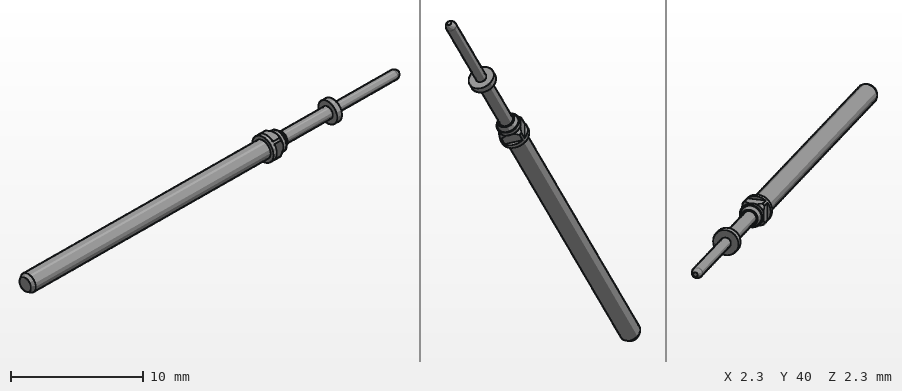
import cadquery as cq

LENGTH = 40.0
REAR_Y = -LENGTH / 2
TIP_Y = LENGTH / 2

PIN_DIAMETER = 0.85
TIP_ROUND_LENGTH = 0.4
TIP_ROUND_DEPTH = 0.25
TIP_ROUND_BULGE = 0.05
DISC_FRONT_Y = TIP_Y - 7.0

DISC_DIAMETER = 2.05
DISC_THICKNESS = 0.5
SHAFT_DIAMETER = 1.1
SHAFT_LENGTH = 4.95

FLANGE_DIAMETER = 2.3

SHOULDER_FRONT_DIAMETER = 1.3
SHOULDER_REAR_DIAMETER = 1.7
SHOULDER_LENGTH = 0.35
COLLAR_DIAMETER = 1.85
COLLAR_LENGTH = 0.35
SQUARE_WIDTH = 1.75
SQUARE_LENGTH = 0.9
SQUARE_CORNER_DIAMETER = FLANGE_DIAMETER
SQUARE_CHAMFER_LENGTH = 0.25

FLANGE_THICKNESS = 0.35
BARREL_DIAMETER = 1.65
REAR_CHAMFER_LENGTH = 0.3
REAR_CHAMFER_DEPTH = 0.2

DISC_REAR_Y = DISC_FRONT_Y - DISC_THICKNESS
SHOULDER_FRONT_Y = DISC_REAR_Y - SHAFT_LENGTH
COLLAR_FRONT_Y = SHOULDER_FRONT_Y - SHOULDER_LENGTH
SQUARE_FRONT_Y = COLLAR_FRONT_Y - COLLAR_LENGTH
FLANGE_FRONT_Y = SQUARE_FRONT_Y - SQUARE_LENGTH
FLANGE_REAR_Y = FLANGE_FRONT_Y - FLANGE_THICKNESS


def turned(start_y, end_y, start_diameter, end_diameter=None):
    """Cylinder, or cone if the end diameter differs, about the Y axis."""
    start_radius = start_diameter / 2
    end_radius = (end_diameter or start_diameter) / 2
    profile = cq.Workplane("XY").polyline(
        [(0, start_y), (start_radius, start_y), (end_radius, end_y), (0, end_y)]
    ).close()
    return profile.revolve(360, (0, 0, 0), (0, 1, 0))


def front_pin():
    """Pin whose tip is rounded over to a small flat end."""
    radius = PIN_DIAMETER / 2
    round_start_y = TIP_Y - TIP_ROUND_LENGTH
    end_radius = radius - TIP_ROUND_DEPTH
    middle = (radius - TIP_ROUND_DEPTH / 2 + TIP_ROUND_BULGE, TIP_Y - TIP_ROUND_LENGTH / 2 + TIP_ROUND_BULGE)
    profile = (
        cq.Workplane("XY")
        .moveTo(0, DISC_FRONT_Y)
        .lineTo(radius, DISC_FRONT_Y)
        .lineTo(radius, round_start_y)
        .threePointArc(middle, (end_radius, TIP_Y))
        .lineTo(0, TIP_Y)
        .close()
    )
    return profile.revolve(360, (0, 0, 0), (0, 1, 0))


def disc_and_shaft():
    disc = turned(DISC_REAR_Y, DISC_FRONT_Y, DISC_DIAMETER)
    return disc.union(turned(SHOULDER_FRONT_Y, DISC_REAR_Y, SHAFT_DIAMETER))


def shoulder_and_collar():
    shoulder = turned(COLLAR_FRONT_Y, SHOULDER_FRONT_Y, SHOULDER_REAR_DIAMETER, SHOULDER_FRONT_DIAMETER)
    return shoulder.union(turned(SQUARE_FRONT_Y, COLLAR_FRONT_Y, COLLAR_DIAMETER))


def square_section():
    """Square with turned corners, its front corners bevelled down to the collar."""
    chamfer_y = SQUARE_FRONT_Y - SQUARE_CHAMFER_LENGTH
    blank = turned(FLANGE_FRONT_Y, chamfer_y, SQUARE_CORNER_DIAMETER)
    blank = blank.union(turned(chamfer_y, SQUARE_FRONT_Y, SQUARE_CORNER_DIAMETER, COLLAR_DIAMETER))
    square = cq.Workplane("XY").box(SQUARE_WIDTH, SQUARE_LENGTH, SQUARE_WIDTH)
    return blank.intersect(square.translate((0, (FLANGE_FRONT_Y + SQUARE_FRONT_Y) / 2, 0)))


def flange_and_barrel():
    chamfer_y = REAR_Y + REAR_CHAMFER_LENGTH
    rear_diameter = BARREL_DIAMETER - 2 * REAR_CHAMFER_DEPTH
    flange = turned(FLANGE_REAR_Y, FLANGE_FRONT_Y, FLANGE_DIAMETER)
    barrel = turned(chamfer_y, FLANGE_REAR_Y, BARREL_DIAMETER)
    return flange.union(barrel).union(turned(REAR_Y, chamfer_y, rear_diameter, BARREL_DIAMETER))


result = (
    front_pin()
    .union(disc_and_shaft())
    .union(shoulder_and_collar())
    .union(square_section())
    .union(flange_and_barrel())
)